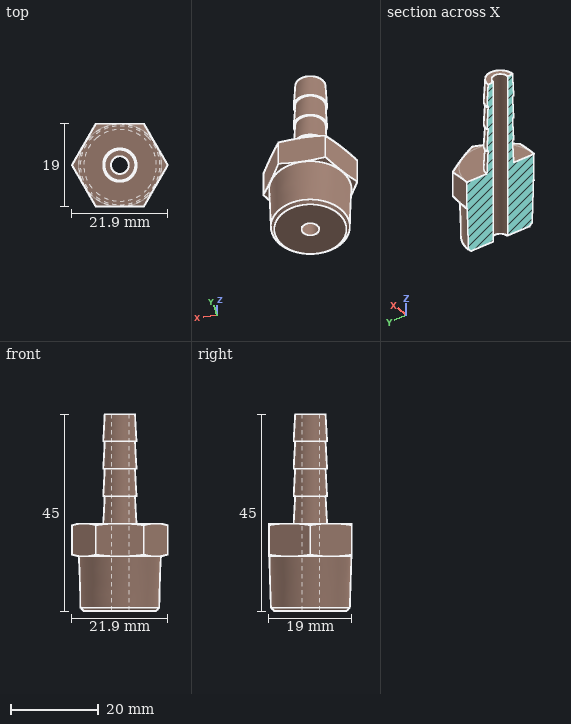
import cadquery as cq
import math

plug_length = 12.5
hex_height = 7.5
barb_count = 4
barb_pitch = 6.25
total_height = plug_length + hex_height + barb_count * barb_pitch

plug_taper = 1 / 16
plug_bottom_diameter = 18.1
plug_chamfer_height = 0.8
plug_top_diameter = plug_bottom_diameter + plug_taper * (plug_length - plug_chamfer_height)
plug_tip_diameter = 16.5

hex_across_flats = 19.0
hex_across_corners = hex_across_flats / math.cos(math.radians(30))
hex_bevel_angle = 15.0

barb_tip_diameter = 7.0
barb_root_diameter = 7.7
bore_diameter = 4.0


def revolve_profile(points):
    """Revolve a closed (radius, height) profile about the Z axis."""
    return cq.Workplane("YZ").polyline(points).close().revolve(360, (0, 0, 0), (0, 1, 0))


def make_plug():
    """Slightly tapered plug, widest under the hexagon, chamfered at its free end."""
    return revolve_profile([
        (0, 0),
        (plug_tip_diameter / 2, 0),
        (plug_bottom_diameter / 2, plug_chamfer_height),
        (plug_top_diameter / 2, plug_length),
        (0, plug_length),
    ])


def make_hexagon():
    """Hexagon with corners on the X axis, its corners bevelled by a cone at both ends."""
    prism = (
        cq.Workplane("XY")
        .workplane(offset=plug_length)
        .polygon(6, hex_across_corners)
        .extrude(hex_height)
    )
    flat_radius = hex_across_flats / 2
    corner_radius = hex_across_corners / 2
    bevel_height = (corner_radius - flat_radius) * math.tan(math.radians(hex_bevel_angle))
    hex_top = plug_length + hex_height
    bevel_envelope = revolve_profile([
        (0, plug_length),
        (flat_radius, plug_length),
        (corner_radius, plug_length + bevel_height),
        (corner_radius, hex_top - bevel_height),
        (flat_radius, hex_top),
        (0, hex_top),
    ])
    return prism.intersect(bevel_envelope)


def make_hose_stem():
    """Stack of identical cones that narrow upwards, leaving a barb step at each joint."""
    stem_base = plug_length + hex_height
    points = [(0, stem_base)]
    for index in range(barb_count):
        barb_base = stem_base + index * barb_pitch
        points.append((barb_root_diameter / 2, barb_base))
        points.append((barb_tip_diameter / 2, barb_base + barb_pitch))
    points.append((0, total_height))
    return revolve_profile(points)


def make_bore():
    """Straight bore through the full height."""
    return cq.Workplane("XY").circle(bore_diameter / 2).extrude(total_height)


result = make_plug().union(make_hexagon()).union(make_hose_stem()).cut(make_bore())